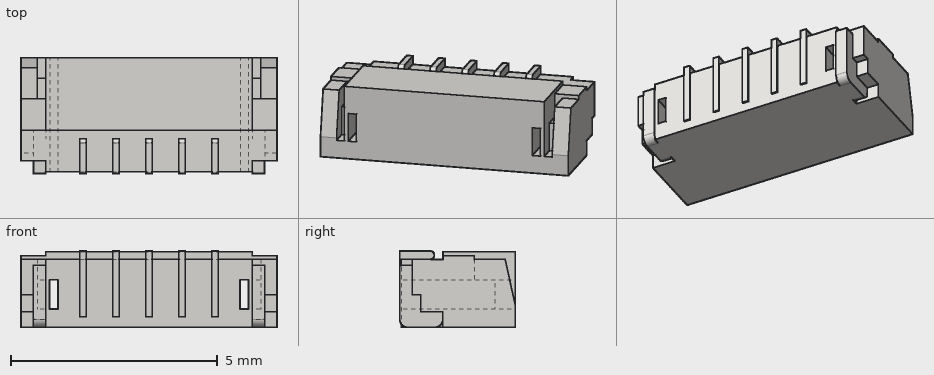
import cadquery as cq

LENGTH = 6.2
DEPTH = 2.8
HEIGHT = 1.85

FRONT_FACE_Y = 0.04
DECK_Z = 1.64
ROOF_Z = 1.83
ROOF_FRONT_Y = 1.05
END_WIDTH = 0.6
ROOF_LENGTH = LENGTH - 2 * END_WIDTH

SHOULDER_Z = 1.735
SHOULDER_BACK_Y = 1.805
SLOPE_RUN = 0.25
SLOPE_BOTTOM_Z = 0.515

EAR_FRONT_Y = 0.305
EAR_BOTTOM_Z = 0.79
STEP_FRONT_Y = 0.51
STEP_BOTTOM_Z = 0.37

GROOVE_WIDTH = 0.2
GROOVE_STEP_Y = 2.305
GROOVE_FRONT_Z = 1.15
GROOVE_BACK_Z = 0.445

WINDOW_WIDTH = 0.205
WINDOW_INSET = 0.695
WINDOW_BOTTOM_Z = 0.445
WINDOW_TOP_Z = 1.15

CLIP_WIDTH = 0.3
CLIP_TOP_Z = 1.5
CLIP_RADIUS = 0.2

CONTACT_COUNT = 5
CONTACT_PITCH = 0.8
CONTACT_WIDTH = 0.155
CONTACT_BOTTOM_Z = 0.255
CONTACT_TIP_Y = 0.845


def box(x0, x1, y0, y1, z0, z1):
    """Box between two corners."""
    return cq.Workplane("XY").box(x1 - x0, y1 - y0, z1 - z0, centered=False).translate((x0, y0, z0))


def extrude_along_x(profile, x0, width):
    """Extrude a closed YZ profile from x0 towards +X."""
    return profile.extrude(width).translate((x0, 0, 0))


def both_ends(left):
    """Join a left-end shape with its mirror image at the right end."""
    return left.union(left.mirror("YZ"))


LEFT_X = -LENGTH / 2
ROOF_LEFT_X = LEFT_X + END_WIDTH


def make_core():
    """Middle of the housing: a low front deck and a raised roof behind it."""
    profile = (
        cq.Workplane("YZ")
        .moveTo(FRONT_FACE_Y, 0)
        .lineTo(FRONT_FACE_Y, DECK_Z)
        .lineTo(ROOF_FRONT_Y, DECK_Z)
        .lineTo(ROOF_FRONT_Y, ROOF_Z)
        .lineTo(DEPTH, ROOF_Z)
        .lineTo(DEPTH, 0)
        .close()
    )
    return extrude_along_x(profile, ROOF_LEFT_X, ROOF_LENGTH)


def make_end_block():
    """Left end block with its stepped notch, shoulder, sloped back and groove."""
    profile = (
        cq.Workplane("YZ")
        .moveTo(ROOF_FRONT_Y, 0)
        .lineTo(ROOF_FRONT_Y, STEP_BOTTOM_Z)
        .lineTo(STEP_FRONT_Y, STEP_BOTTOM_Z)
        .lineTo(STEP_FRONT_Y, EAR_BOTTOM_Z)
        .lineTo(EAR_FRONT_Y, EAR_BOTTOM_Z)
        .lineTo(EAR_FRONT_Y, DECK_Z)
        .lineTo(ROOF_FRONT_Y, DECK_Z)
        .lineTo(ROOF_FRONT_Y, SHOULDER_Z)
        .lineTo(SHOULDER_BACK_Y, SHOULDER_Z)
        .lineTo(SHOULDER_BACK_Y, DECK_Z)
        .lineTo(DEPTH - SLOPE_RUN, DECK_Z)
        .lineTo(DEPTH, SLOPE_BOTTOM_Z)
        .lineTo(DEPTH, 0)
        .close()
    )
    block = extrude_along_x(profile, LEFT_X, END_WIDTH)
    groove_x = ROOF_LEFT_X - GROOVE_WIDTH
    front_groove = box(groove_x, ROOF_LEFT_X, SHOULDER_BACK_Y, GROOVE_STEP_Y, GROOVE_FRONT_Z, SHOULDER_Z)
    back_groove = box(groove_x, ROOF_LEFT_X, GROOVE_STEP_Y, DEPTH, GROOVE_BACK_Z, SHOULDER_Z)
    return block.cut(front_groove).cut(back_groove)


def make_window():
    """Left window, cut through the full depth of the housing."""
    x = LEFT_X + WINDOW_INSET
    return box(x, x + WINDOW_WIDTH, 0, DEPTH, WINDOW_BOTTOM_Z, WINDOW_TOP_Z)


def make_clip():
    """Left solder clip: an upright plate with a foot, rounded along its lower edges."""
    x = ROOF_LEFT_X - CLIP_WIDTH
    upright = box(x, ROOF_LEFT_X, 0, STEP_FRONT_Y, 0, CLIP_TOP_Z)
    foot = box(x, ROOF_LEFT_X, 0, ROOF_FRONT_Y, 0, STEP_BOTTOM_Z)
    return upright.union(foot).edges("|X and <Z").fillet(CLIP_RADIUS)


def make_contact(x):
    """L-shaped contact centred on x, with a round tip lying on the deck."""
    thickness = HEIGHT - DECK_Z
    tip_radius = thickness / 2
    profile = (
        cq.Workplane("YZ")
        .moveTo(0, CONTACT_BOTTOM_Z)
        .lineTo(0, HEIGHT)
        .lineTo(CONTACT_TIP_Y - tip_radius, HEIGHT)
        .threePointArc((CONTACT_TIP_Y, HEIGHT - tip_radius), (CONTACT_TIP_Y - tip_radius, DECK_Z))
        .lineTo(FRONT_FACE_Y, DECK_Z)
        .lineTo(FRONT_FACE_Y, CONTACT_BOTTOM_Z)
        .close()
    )
    return extrude_along_x(profile, x - CONTACT_WIDTH / 2, CONTACT_WIDTH)


result = make_core().union(both_ends(make_end_block())).cut(both_ends(make_window()))
result = result.union(both_ends(make_clip()))
for index in range(CONTACT_COUNT):
    contact_x = (index - (CONTACT_COUNT - 1) / 2) * CONTACT_PITCH
    result = result.union(make_contact(contact_x))